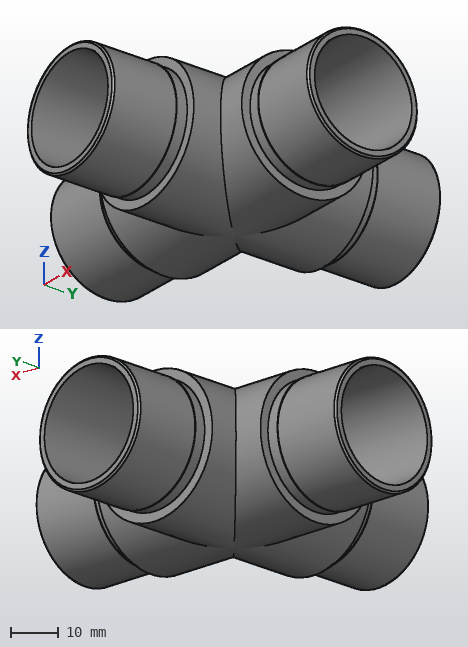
import cadquery as cq

overall_length = 88.0
body_length = 48.05
body_diameter = 33.7
spigot_diameter = 29.6
spigot_length = 17.1
neck_diameter = 29.2
bore_diameter = 26.05
end_chamfer = 0.4

half_length = overall_length / 2
half_body = body_length / 2
neck_end = half_length - spigot_length


def along_axis(plane, diameter, half_span):
    """Round bar centred on the origin, along the normal of the plane."""
    return cq.Workplane(plane).circle(diameter / 2).extrude(half_span, both=True)


def solid_run(plane):
    """Straight run through the cross: body, necks and chamfered spigots."""
    spigots = along_axis(plane, spigot_diameter, half_length).edges().chamfer(end_chamfer)
    necks = along_axis(plane, neck_diameter, neck_end)
    body = along_axis(plane, body_diameter, half_body)
    spigots = spigots.cut(along_axis(plane, spigot_diameter, neck_end))
    return necks.union(spigots).union(body)


run_planes = ("YZ", "XZ")
result = solid_run(run_planes[0]).union(solid_run(run_planes[1]))
for run_plane in run_planes:
    result = result.cut(along_axis(run_plane, bore_diameter, half_length))